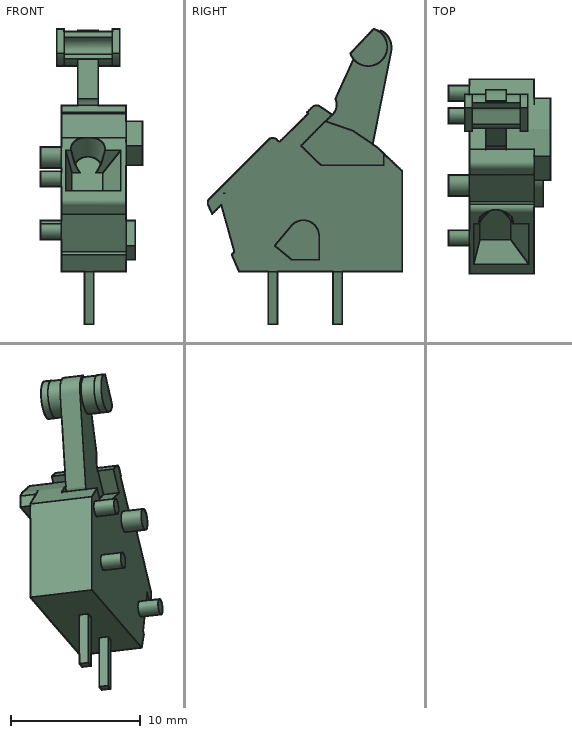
import cadquery as cq
import math


body_width = 5.0
back_height = 7.75

peg_length = 1.62
small_peg_radius = 0.605
large_peg_radius = 0.82
small_peg_centers = [(-1.1, 7.16), (-2.83, 3.35), (-12.25, 3.08)]
large_peg_center = (-8.21, 8.8)

pin_size = 0.73
pin_drop = 4.05
pin_left = 1.78
pin_centers_y = [-5.0, -10.0]

arm_left = 1.25
arm_width = 1.6
arm_right = arm_left + arm_width

head_center_y = -2.65
head_center_z = 17.34
head_radius = 1.471
head_left = -0.36
head_width = 4.88
disc_width = 0.57
disc_flat_offset = 0.66
barrel_flat_offset = 0.23
head_tilt = 46.5
groove_floor_z = 16.77
groove_radius = 0.68
groove_center_y = -2.5

upper_boss_length = 1.28
lower_boss_length = 0.7

face_level = 20.53
funnel_floor_level = 17.93
funnel_left = 0.35
funnel_right = 4.58
funnel_top_y = -11.18
funnel_bottom_z = 6.25
funnel_floor_bottom_z = 5.55
funnel_floor_top_z = 7.62
funnel_floor_left = 0.82
funnel_floor_right = 3.2
wire_center_x = 2.05
wire_mouth_y = -11.06
wire_mouth_radius = 1.32
wire_floor_radius = 0.98


def side_sketch(x):
    """Workplane facing +X at the given X; its coordinates are (Y, Z)."""
    return cq.Workplane("YZ").workplane(offset=x)


def cylinder_x(center, radius, x_start, length):
    """Round bar along X."""
    return side_sketch(x_start).center(*center).circle(radius).extrude(length)


def housing_shell():
    """Full-width side profile with its two rounded lips and the front nose."""
    return (
        side_sketch(0)
        .moveTo(0, 0)
        .lineTo(0, back_height)
        .lineTo(-1.28, 8.96)
        .lineTo(-2.6, 7.7)
        .lineTo(-6.87, 10.7)
        .lineTo(-5.4, 12.11)
        .lineTo(-6.32, 12.73)
        .threePointArc((-6.64, 12.85), (-6.93, 12.73))
        .lineTo(-7.37, 12.3)
        .lineTo(-7.28, 12.2)
        .lineTo(-9.47, 10.04)
        .lineTo(-9.65, 10.13)
        .threePointArc((-10.01, 10.33), (-10.35, 10.17))
        .lineTo(-14.9, 5.63)
        .threePointArc((-15.03, 5.38), (-14.96, 5.06))
        .lineTo(-14.7, 4.45)
        .lineTo(-13.98, 5.13)
        .lineTo(-12.98, 1.53)
        .lineTo(-13.18, 1.32)
        .lineTo(-12.61, 0)
        .close()
        .extrude(body_width)
    )


roof = [(-1.95, 9.6), (-3.83, 10.88), (-5.95, 11.6)]


def lever_block():
    """Raised block that fills the recess on the +X side of the lever."""
    outline = [(-1.28, 8.96), *roof, (-6.87, 10.7), (-2.6, 7.7)]
    return side_sketch(arm_right).polyline(outline).close().extrude(body_width - arm_right)


def upper_boss():
    """Large side boss on the +X face."""
    outline = [(-1.45, 8.21), (-1.45, 9.12), *roof, (-7.82, 9.72), (-6.45, 8.37), (-6.25, 8.21)]
    return side_sketch(body_width).polyline(outline).close().extrude(upper_boss_length)


def lower_boss():
    """Small round-topped side boss on the +X face."""
    return (
        side_sketch(body_width)
        .moveTo(-8.53, 0.91)
        .lineTo(-9.85, 2.0)
        .lineTo(-8.58, 3.54)
        .threePointArc((-7.65, 3.97), (-6.43, 2.75))
        .lineTo(-6.43, 0.91)
        .close()
        .extrude(lower_boss_length)
    )


def pegs():
    """Four locating pegs on the -X face."""
    peg_set = cylinder_x(large_peg_center, large_peg_radius, -peg_length, peg_length)
    for center in small_peg_centers:
        peg_set = peg_set.union(
            cylinder_x(center, small_peg_radius, -peg_length, peg_length)
        )
    return peg_set


def wire_funnel():
    """Tapered wire entry with a floor parallel to the terminal face."""
    funnel_bottom_y = funnel_bottom_z - face_level
    funnel_top_z = face_level + funnel_top_y
    floor_bottom_y = funnel_floor_bottom_z - funnel_floor_level
    floor_top_y = funnel_floor_top_z - funnel_floor_level
    mouth = cq.Wire.makePolygon(
        [
            cq.Vector(funnel_left, funnel_bottom_y, funnel_bottom_z),
            cq.Vector(funnel_right, funnel_bottom_y, funnel_bottom_z),
            cq.Vector(funnel_right, funnel_top_y, funnel_top_z),
            cq.Vector(funnel_left, funnel_top_y, funnel_top_z),
        ],
        close=True,
    )
    floor = cq.Wire.makePolygon(
        [
            cq.Vector(funnel_floor_left, floor_bottom_y, funnel_floor_bottom_z),
            cq.Vector(funnel_floor_right, floor_bottom_y, funnel_floor_bottom_z),
            cq.Vector(funnel_floor_right, floor_top_y, funnel_floor_top_z),
            cq.Vector(funnel_floor_left, floor_top_y, funnel_floor_top_z),
        ],
        close=True,
    )
    return cq.Workplane(cq.Solid.makeLoft([mouth, floor], True))


def wire_hole():
    """Conical hole square to the terminal face, from beyond the lip down to the funnel floor."""
    depth = (face_level - funnel_floor_level) / math.sqrt(2)
    inward_step = depth / math.sqrt(2)
    floor_center = cq.Vector(
        wire_center_x,
        wire_mouth_y + inward_step,
        face_level + wire_mouth_y - inward_step,
    )
    outer_radius = 2 * wire_mouth_radius - wire_floor_radius
    cone = cq.Solid.makeCone(
        wire_floor_radius, outer_radius, 2 * depth, floor_center, cq.Vector(0, -1, 1)
    )
    return cq.Workplane(cone)


def cut_by_flat(bar, offset, x_start, length):
    """Remove what lies beyond a tilted flat at the given distance from the head axis."""
    reach = 4 * head_radius
    cutter = (
        cq.Workplane("XY")
        .box(length, reach, reach, centered=(False, True, False))
        .translate((x_start, 0, offset))
        .rotate((0, 0, 0), (1, 0, 0), head_tilt)
        .translate((0, head_center_y, head_center_z))
    )
    return bar.cut(cutter)


def head_bar(x_start, length, flat_offset):
    """Piece of the round head with one flat."""
    bar = cylinder_x((head_center_y, head_center_z), head_radius, x_start, length)
    return cut_by_flat(bar, flat_offset, x_start, length)


def finger_groove():
    """Groove with a round back and a level floor, open toward the front."""
    axis_z = groove_floor_z + groove_radius
    return (
        side_sketch(barrel_left)
        .moveTo(groove_center_y, groove_floor_z)
        .threePointArc(
            (groove_center_y + groove_radius, axis_z),
            (groove_center_y, axis_z + groove_radius),
        )
        .lineTo(groove_center_y - head_radius, axis_z + groove_radius)
        .lineTo(groove_center_y - head_radius, groove_floor_z)
        .close()
        .extrude(barrel_length)
    )


def arm_blank():
    """Arm profile, from its round top to the foot bedded in the housing."""
    return (
        side_sketch(arm_left)
        .moveTo(-0.87, 16.97)
        .threePointArc((-1.03, 18.02), (-1.69, 18.64))
        .lineTo(head_center_y, head_center_z)
        .lineTo(-3.65, 16.7)
        .lineTo(-5.18, 13.35)
        .threePointArc((-5.1, 12.68), (-5.4, 12.11))
        .lineTo(-6.87, 10.7)
        .lineTo(-5.31, 9.6)
        .threePointArc((-4.7, 9.55), (-4.01, 9.05))
        .threePointArc((-3.1, 8.9), (-2.33, 9.63))
        .close()
        .extrude(arm_width)
    )


barrel_left = head_left + disc_width
barrel_length = head_width - 2 * disc_width
disc_starts = [head_left, barrel_left + barrel_length]

barrel = head_bar(barrel_left, barrel_length, barrel_flat_offset).cut(finger_groove())
discs = [head_bar(start, disc_width, disc_flat_offset) for start in disc_starts]

barrel_seat = cylinder_x((head_center_y, head_center_z), head_radius, arm_left, arm_width)
arm = arm_blank().cut(barrel_seat)

housing = (
    housing_shell()
    .union(lever_block())
    .union(upper_boss())
    .union(lower_boss())
    .union(pegs())
    .cut(wire_funnel())
    .cut(wire_hole())
    .cut(arm_blank())
)


def solder_pin(center_y):
    """Square pin that hangs from the underside of the housing."""
    return (
        cq.Workplane("XY")
        .center(pin_left + pin_size / 2, center_y)
        .rect(pin_size, pin_size)
        .extrude(-pin_drop)
    )


pins = [solder_pin(center_y) for center_y in pin_centers_y]

bodies = [housing, arm, barrel, *discs, *pins]
result = cq.Compound.makeCompound([body.solids().val() for body in bodies])